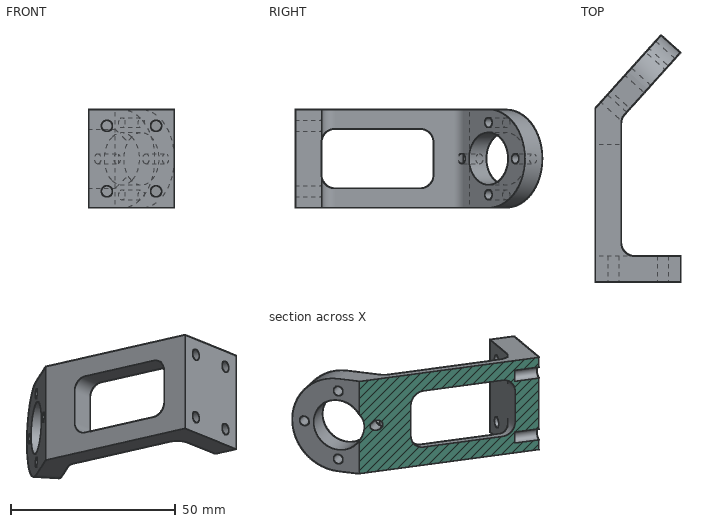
import cadquery as cq
import math

height = 30.0
foot_length = 26.05
thickness = 8.0
bend_y = 53.0
head_tilt = 42.0
inner_radius = 4.0

window_start = thickness
window_length = 34.0
window_height = 18.0
window_radius = 4.0
window_depth = thickness + inner_radius

bore_diameter = 15.95
head_hole_diameter = 3.0
head_hole_circle_radius = 11.0
head_hole_count = 4

foot_hole_diameter = 3.4
foot_hole_pitch_x = 15.0
foot_hole_pitch_z = 19.95
foot_hole_depth = thickness

tilt = math.radians(head_tilt)
head_radius = height / 2
head_length = 2 * head_radius
inner_bend_y = bend_y - thickness * math.tan(tilt / 2)
along = (math.sin(tilt), math.cos(tilt))
inward = (math.cos(tilt), -math.sin(tilt))
tip = (head_length * along[0], bend_y + head_length * along[1])
inner_tip = (tip[0] + thickness * inward[0], tip[1] + thickness * inward[1])

head_plane = cq.Plane(
    origin=(head_radius * along[0], bend_y + head_radius * along[1], 0),
    xDir=(along[0], along[1], 0),
    normal=(inward[0], inward[1], 0),
)


def bracket():
    """Foot, wall and tilted head, centred on Z = 0."""
    outline = [
        (0, 0), (foot_length, 0), (foot_length, thickness), (thickness, thickness),
        (thickness, inner_bend_y), inner_tip, tip, (0, bend_y),
    ]
    body = cq.Workplane("XY").polyline(outline).close().extrude(height / 2, both=True)
    for corner in [(thickness, thickness, 0), (thickness, inner_bend_y, 0)]:
        body = body.edges(cq.selectors.NearestToPointSelector(corner)).fillet(inner_radius)
    return body


def head_end_waste():
    """Material outside the half-round end of the head."""
    block = cq.Workplane(head_plane).rect(head_length, height).extrude(thickness)
    inner_half = (
        cq.Workplane(head_plane).center(-head_radius / 2, 0).rect(head_radius, height).extrude(thickness)
    )
    disc = cq.Workplane(head_plane).circle(head_radius).extrude(thickness)
    return block.cut(inner_half).cut(disc)


def head_holes():
    """Central bore with a ring of small through holes."""
    bore = cq.Workplane(head_plane).circle(bore_diameter / 2).extrude(thickness)
    ring = (
        cq.Workplane(head_plane)
        .polarArray(head_hole_circle_radius, 0, 360, head_hole_count)
        .circle(head_hole_diameter / 2)
        .extrude(thickness)
    )
    return bore.union(ring)


def window():
    """Rounded opening through the wall and its inside fillet."""
    return (
        cq.Workplane("XY")
        .box(window_depth, window_length, window_height, centered=(False, False, True))
        .edges("|X")
        .fillet(window_radius)
        .translate((0, window_start, 0))
    )


def foot_holes():
    """Four holes into the foot, as deep as the foot is thick."""
    return (
        cq.Workplane("XZ")
        .center(foot_length / 2, 0)
        .rarray(foot_hole_pitch_x, foot_hole_pitch_z, 2, 2)
        .circle(foot_hole_diameter / 2)
        .extrude(-foot_hole_depth)
    )


result = bracket().cut(head_end_waste()).cut(head_holes()).cut(window()).cut(foot_holes())